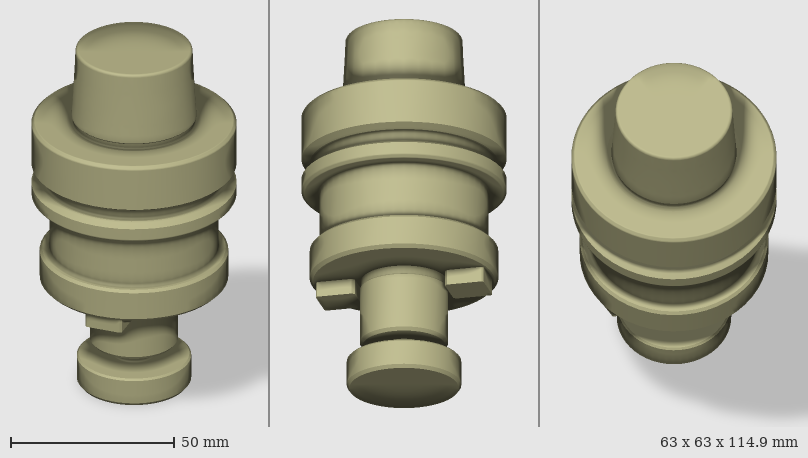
import cadquery as cq
import math

TOTAL_HEIGHT = 114.9
SCREW_HEAD_TOP = 9.3
ARBOR_END = 13.9
ARBOR_SHOULDER = 32.6
COLLAR_BOTTOM = 35.2
COLLAR_TOP = 46.0
FLANGE_BOTTOM = 63.9
GRIP_GROOVE_CENTRE = 72.0
FLANGE_FACE = 90.1
TAPER_BOTTOM = 91.9

FLANGE_RADIUS = 31.5
GRIP_GROOVE_RADIUS = 27.5
TAPER_LARGE_RADIUS = 19.2
TAPER_SMALL_RADIUS = 17.9
NECK_RADIUS = 18.7
FACE_RECESS_RADIUS = 20.7
HUB_RADIUS = 26.0
COLLAR_RADIUS = 29.0
ARBOR_RADIUS = 13.6
ARBOR_RELIEF_RADIUS = 13.2

TAPER_TOP_FILLET = 0.9
NECK_STEP = TAPER_LARGE_RADIUS - NECK_RADIUS
FACE_RECESS_DEPTH = 0.3
NECK_FILLET = 0.5
FLANGE_EDGE_CHAMFER = 0.9
GRIP_GROOVE_WIDTH = 3.8
GRIP_SHELF_RADIUS = 29.0
GRIP_FLANK_ANGLE = 30.0
GRIP_GROOVE_FILLET = 0.7
FLANGE_EDGE_FILLET = 0.6
HUB_TOP_FILLET = 0.6
HUB_BOTTOM_FILLET = 1.0
COLLAR_TOP_CHAMFER = 0.8
COLLAR_BOTTOM_CHAMFER = 1.0
ARBOR_RELIEF_STEP = ARBOR_RADIUS - ARBOR_RELIEF_RADIUS
END_CHAMFER_RADIAL = 0.8
END_CHAMFER_HEIGHT = 1.0

KEY_WIDTH = 12.0
KEY_DROP = 4.8
KEY_INNER_REACH = 14.2
KEY_OUTER_REACH = 26.5
KEY_OUTER_CHAMFER = 0.6
KEY_INNER_CHAMFER = 0.8

SCREW_HEAD_RADIUS = 17.6
SCREW_SHANK_RADIUS = 6.0
SCREW_HEAD_TOP_CHAMFER = 0.6
SCREW_SHANK_FILLET = 0.6


def turned(points):
    """Revolve a (radius, height) outline about the Z axis."""
    return cq.Workplane("XZ").polyline(points).close().revolve(360, (0, 0, 0), (0, 1, 0))


def fillet_circle(body, radius, height, size):
    """Round the full circular edges of the given radius and height."""
    tolerance = 0.01
    edges = [
        edge
        for edge in body.edges("%CIRCLE").vals()
        if abs(edge.radius() - radius) < tolerance and abs(edge.Center().z - height) < tolerance
    ]
    return body.newObject(edges).fillet(size)


def make_turned_holder():
    groove_bottom = GRIP_GROOVE_CENTRE - GRIP_GROOVE_WIDTH / 2
    groove_top = GRIP_GROOVE_CENTRE + GRIP_GROOVE_WIDTH / 2
    flank_height = (FLANGE_RADIUS - GRIP_SHELF_RADIUS) * math.tan(math.radians(GRIP_FLANK_ANGLE))
    recess_floor = FLANGE_FACE - FACE_RECESS_DEPTH

    holder = turned([
        (0, ARBOR_END),
        (ARBOR_RADIUS - END_CHAMFER_RADIAL, ARBOR_END),
        (ARBOR_RADIUS, ARBOR_END + END_CHAMFER_HEIGHT),
        (ARBOR_RADIUS, ARBOR_SHOULDER - ARBOR_RELIEF_STEP),
        (ARBOR_RELIEF_RADIUS, ARBOR_SHOULDER),
        (ARBOR_RELIEF_RADIUS, COLLAR_BOTTOM),
        (COLLAR_RADIUS - COLLAR_BOTTOM_CHAMFER, COLLAR_BOTTOM),
        (COLLAR_RADIUS, COLLAR_BOTTOM + COLLAR_BOTTOM_CHAMFER),
        (COLLAR_RADIUS, COLLAR_TOP - COLLAR_TOP_CHAMFER),
        (COLLAR_RADIUS - COLLAR_TOP_CHAMFER, COLLAR_TOP),
        (HUB_RADIUS, COLLAR_TOP),
        (HUB_RADIUS, FLANGE_BOTTOM),
        (FLANGE_RADIUS - FLANGE_EDGE_CHAMFER, FLANGE_BOTTOM),
        (FLANGE_RADIUS, FLANGE_BOTTOM + FLANGE_EDGE_CHAMFER),
        (FLANGE_RADIUS, groove_bottom - flank_height),
        (GRIP_SHELF_RADIUS, groove_bottom),
        (GRIP_GROOVE_RADIUS, groove_bottom),
        (GRIP_GROOVE_RADIUS, groove_top),
        (GRIP_SHELF_RADIUS, groove_top),
        (FLANGE_RADIUS, groove_top + flank_height),
        (FLANGE_RADIUS, FLANGE_FACE - FLANGE_EDGE_CHAMFER),
        (FLANGE_RADIUS - FLANGE_EDGE_CHAMFER, FLANGE_FACE),
        (FACE_RECESS_RADIUS, FLANGE_FACE),
        (NECK_RADIUS, recess_floor),
        (NECK_RADIUS, TAPER_BOTTOM - NECK_STEP),
        (TAPER_LARGE_RADIUS, TAPER_BOTTOM),
        (TAPER_SMALL_RADIUS, TOTAL_HEIGHT),
        (0, TOTAL_HEIGHT),
    ])
    holder = fillet_circle(holder, TAPER_SMALL_RADIUS, TOTAL_HEIGHT, TAPER_TOP_FILLET)
    holder = fillet_circle(holder, NECK_RADIUS, recess_floor, NECK_FILLET)
    holder = fillet_circle(holder, GRIP_GROOVE_RADIUS, groove_top, GRIP_GROOVE_FILLET)
    holder = fillet_circle(holder, GRIP_GROOVE_RADIUS, groove_bottom, GRIP_GROOVE_FILLET)
    for height, inward in ((FLANGE_FACE, -1), (FLANGE_BOTTOM, 1)):
        holder = fillet_circle(holder, FLANGE_RADIUS - FLANGE_EDGE_CHAMFER, height, FLANGE_EDGE_FILLET)
        chamfer_end = height + inward * FLANGE_EDGE_CHAMFER
        holder = fillet_circle(holder, FLANGE_RADIUS, chamfer_end, FLANGE_EDGE_FILLET)
    holder = fillet_circle(holder, HUB_RADIUS, FLANGE_BOTTOM, HUB_TOP_FILLET)
    return fillet_circle(holder, HUB_RADIUS, COLLAR_TOP, HUB_BOTTOM_FILLET)


def make_drive_key(side):
    """One key hanging below the collar; side is +1 or -1 along Y."""
    half_width = KEY_WIDTH / 2
    half_outer = half_width - KEY_OUTER_CHAMFER
    half_inner = half_width - KEY_INNER_CHAMFER
    outline = [
        (-half_inner, side * KEY_INNER_REACH),
        (half_inner, side * KEY_INNER_REACH),
        (half_width, side * (KEY_INNER_REACH + KEY_INNER_CHAMFER)),
        (half_width, side * (KEY_OUTER_REACH - KEY_OUTER_CHAMFER)),
        (half_outer, side * KEY_OUTER_REACH),
        (-half_outer, side * KEY_OUTER_REACH),
        (-half_width, side * (KEY_OUTER_REACH - KEY_OUTER_CHAMFER)),
        (-half_width, side * (KEY_INNER_REACH + KEY_INNER_CHAMFER)),
    ]
    return (
        cq.Workplane("XY", origin=(0, 0, COLLAR_BOTTOM - KEY_DROP))
        .polyline(outline)
        .close()
        .extrude(KEY_DROP)
    )


def make_toolholder():
    holder = make_turned_holder()
    for side in (1, -1):
        holder = holder.union(make_drive_key(side))
    return holder


def make_clamping_screw():
    """Screw whose shank meets the end face of the arbor."""
    screw = turned([
        (0, 0),
        (SCREW_HEAD_RADIUS - END_CHAMFER_RADIAL, 0),
        (SCREW_HEAD_RADIUS, END_CHAMFER_HEIGHT),
        (SCREW_HEAD_RADIUS, SCREW_HEAD_TOP - SCREW_HEAD_TOP_CHAMFER),
        (SCREW_HEAD_RADIUS - SCREW_HEAD_TOP_CHAMFER, SCREW_HEAD_TOP),
        (SCREW_SHANK_RADIUS, SCREW_HEAD_TOP),
        (SCREW_SHANK_RADIUS, ARBOR_END),
        (0, ARBOR_END),
    ])
    return fillet_circle(screw, SCREW_SHANK_RADIUS, SCREW_HEAD_TOP, SCREW_SHANK_FILLET)


toolholder = make_toolholder()
clamping_screw = make_clamping_screw()

result = cq.Compound.makeCompound([toolholder.val(), clamping_screw.val()])